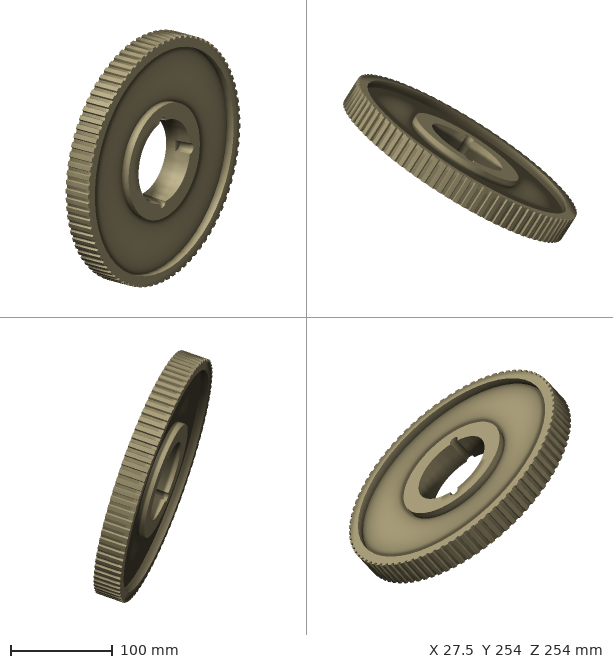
import cadquery as cq
import math

outer_diameter = 254.0
width = 27.5

tooth_count = 84
groove_depth = 2.18
groove_floor_width = 3.3
groove_flank_angle = 21.0

rim_inner_diameter = 231.6
hub_diameter = 118.9
recess_depth = 8.1

bore_narrow_diameter = 81.5
bore_wide_diameter = 85.9

through_hole_diameter = 9.7
through_hole_offset = 2.8
through_hole_height = 43.2
blind_hole_diameter = 11.7
blind_hole_offset = 43.0
blind_hole_depth = 16.8

outer_radius = outer_diameter / 2
left_face = -width / 2
right_face = width / 2
pitch_angle = 360 / tooth_count
first_groove_angle = pitch_angle / 4


def groove_point(radius, sideways, angle):
    """Point at a given radius and sideways shift, turned about the axis."""
    along = math.sqrt(radius**2 - sideways**2)
    turn = math.radians(angle)
    return (
        along * math.cos(turn) - sideways * math.sin(turn),
        along * math.sin(turn) + sideways * math.cos(turn),
    )


def toothed_blank():
    """Disc whose outline alternates grooves and round tooth tips."""
    floor_radius = outer_radius - groove_depth
    half_floor = groove_floor_width / 2
    half_mouth = half_floor + groove_depth * math.tan(math.radians(groove_flank_angle))

    outline = cq.Workplane("YZ", origin=(left_face, 0, 0))
    outline = outline.moveTo(*groove_point(outer_radius, -half_mouth, first_groove_angle))
    for index in range(tooth_count):
        angle = first_groove_angle + index * pitch_angle
        outline = outline.lineTo(*groove_point(floor_radius, -half_floor, angle))
        outline = outline.lineTo(*groove_point(floor_radius, half_floor, angle))
        outline = outline.lineTo(*groove_point(outer_radius, half_mouth, angle))
        outline = outline.threePointArc(
            groove_point(outer_radius, 0, angle + pitch_angle / 2),
            groove_point(outer_radius, -half_mouth, angle + pitch_angle),
        )
    return outline.close().extrude(width)


def web_recess(start):
    """Ring between hub and rim, one recess deep along +X from start."""
    return (
        cq.Workplane("YZ", origin=(start, 0, 0))
        .circle(rim_inner_diameter / 2)
        .circle(hub_diameter / 2)
        .extrude(recess_depth)
    )


def tapered_bore():
    """Cone frustum through the full width."""
    return (
        cq.Workplane("YZ", origin=(left_face, 0, 0))
        .circle(bore_narrow_diameter / 2)
        .workplane(offset=width)
        .circle(bore_wide_diameter / 2)
        .loft(ruled=True)
    )


def through_holes():
    """Two holes above and below the axis, shifted together towards -Y."""
    centres = [(-through_hole_offset, side * through_hole_height) for side in (1, -1)]
    return (
        cq.Workplane("YZ", origin=(left_face, 0, 0))
        .pushPoints(centres)
        .circle(through_hole_diameter / 2)
        .extrude(width)
    )


def blind_hole():
    """Hole on the +Y side of the bore, sunk from the +X face."""
    return (
        cq.Workplane("YZ", origin=(right_face, 0, 0))
        .center(blind_hole_offset, 0)
        .circle(blind_hole_diameter / 2)
        .extrude(-blind_hole_depth)
    )


result = toothed_blank()
for recess_start in (left_face, right_face - recess_depth):
    result = result.cut(web_recess(recess_start))
result = result.cut(tapered_bore()).cut(through_holes()).cut(blind_hole())